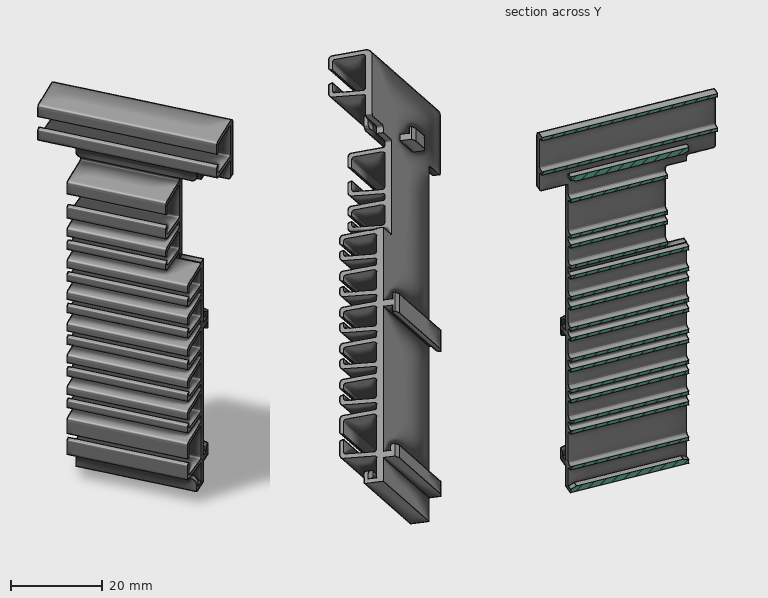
import cadquery as cq
import math

HEIGHT = 98.5
HEAD_WIDTH = 42.0
PLATE_WIDTH = 28.3
WALL = 1.6
HEAD_BOTTOM = 82.9
WALL_CORNER_RADIUS = 0.6
WALL_TOP_RADIUS = 1.5

NOTCH_BOTTOM = 59.2
NOTCH_TOP = 81.3
NOTCH_EDGE_X = 9.1

CHANNEL_FRONT = 10.2
ARM = 1.0
ARM_SLOPE = 3.0
LIP = 0.9
LIP_CORNER_RADIUS = 0.9
LIP_TIP_RADIUS = 0.4
LIP_TIP_SLOPE = 0.3
CAVITY_RADIUS = 0.7
ROOT_RADIUS = 0.5

HEAD_CHANNEL_HEIGHT = 10.4
WIDE_GAP = 3.0
LARGE_HEIGHT = 10.8
UPPER_LARGE_Z = 74.4
LOWER_LARGE_Z = 11.5
SMALL_HEIGHT = 6.8
SMALL_COUNT = 6
SMALL_TOP_Z = 64.0
SMALL_BOTTOM_Z = 22.0
NARROW_GAP = 1.2

FRONT_HOOK_REACH = 3.0
FRONT_HOOK_HEIGHT = 3.25
FRONT_HOOK_THICKNESS = 1.6
FRONT_HOOK_TOP = 85.8
FRONT_HOOK_EDGE_RADIUS = 0.3
FRONT_HOOK_CORNER_RADIUS = 1.2

FLARE_DEPTH = 0.6
FLARE_LENGTH = 1.4

BACK_HOOK_REACH = 3.25
BACK_LIP = 1.6
BACK_ARM = 1.5
BACK_LIP_RISE = 1.5
BACK_LIP_RADIUS = 0.5
BACK_LIP_OUTER_TAPER = 0.5
TOP_CLIP_WIDTH = 8.0
TOP_CLIP_Z = 82.7
MIDDLE_RAIL_Z = 40.8
BOTTOM_RAIL_Z = 5.5

SEARCH_MARGIN = 0.1


def block(x_range, y_range, z_range):
    """Axis-aligned box between the given limits."""
    sizes = [high - low for low, high in (x_range, y_range, z_range)]
    corner = (x_range[0], y_range[0], z_range[0])
    return cq.Workplane("XY").box(*sizes, centered=False).translate(corner)


def centered_range(width):
    return (-width / 2, width / 2)


head_x = centered_range(HEAD_WIDTH)
plate_x = centered_range(PLATE_WIDTH)
short_x = (plate_x[0], NOTCH_EDGE_X)


def prism_x(points, x_range):
    """Extrude a (y, z) outline along X."""
    plane = cq.Workplane("YZ", origin=(x_range[0], 0, 0))
    return plane.polyline(points).close().extrude(x_range[1] - x_range[0])


def edges_within(*ranges):
    """Selector for edges whose centers lie within the X, Y and Z ranges."""
    low_corner = [low - SEARCH_MARGIN for low, high in ranges]
    high_corner = [high + SEARCH_MARGIN for low, high in ranges]
    return cq.selectors.BoxSelector(low_corner, high_corner)


def wall():
    """Wide head over a notched plate, with the corners rounded."""
    head = block(head_x, (-WALL, 0), (HEAD_BOTTOM, HEIGHT))
    head = head.edges("|Y and <Z").fillet(WALL_CORNER_RADIUS)
    plate = block(plate_x, (-WALL, 0), (0, HEIGHT - WALL))
    notch = block((NOTCH_EDGE_X, PLATE_WIDTH), (-WALL, 0), (NOTCH_BOTTOM, NOTCH_TOP))
    notch = notch.edges("|Y and <X and >Z").fillet(WALL_CORNER_RADIUS)
    body = head.union(plate.cut(notch))
    inner_corners = edges_within(plate_x, (-WALL, 0), (HEAD_BOTTOM, HEAD_BOTTOM))
    body = body.edges("|Y").edges(inner_corners).fillet(WALL_CORNER_RADIUS)
    return body.edges("|X and >Z and >Y").fillet(WALL_TOP_RADIUS)


def channel(center_z, height, gap, x_range):
    """C channel whose arms converge toward a slotted front lip."""

    def tapered(back, front, root_height):
        drop = (front - back) * math.tan(math.radians(ARM_SLOPE))
        half_root = root_height / 2
        half_front = half_root - drop
        points = [(-back, half_root), (-front, half_front), (-front, -half_front), (-back, -half_root)]
        return prism_x(points, x_range)

    shell = tapered(WALL, CHANNEL_FRONT, height).edges("|X and <Y").fillet(LIP_CORNER_RADIUS)
    cavity = tapered(WALL, CHANNEL_FRONT - LIP, height - 2 * ARM).edges("|X").fillet(CAVITY_RADIUS)
    inside = LIP - CHANNEL_FRONT
    mouth = gap + 2 * LIP_TIP_SLOPE
    slot_points = [
        (inside, gap / 2),
        (-CHANNEL_FRONT, mouth / 2),
        (-CHANNEL_FRONT, -mouth / 2),
        (inside, -gap / 2),
    ]
    slot = prism_x(slot_points, x_range)
    shell = shell.cut(cavity).cut(slot)
    tips = edges_within(x_range, (-CHANNEL_FRONT, -CHANNEL_FRONT), centered_range(mouth))
    return shell.edges("|X").edges(tips).fillet(LIP_TIP_RADIUS).translate((0, 0, center_z))


def front_hook():
    """Upward-opening hook standing on z = 0, with its mouth flared at both ends."""
    reach = WALL + FRONT_HOOK_REACH - FRONT_HOOK_THICKNESS
    body = block(plate_x, (-WALL - FRONT_HOOK_REACH, -WALL), (0, FRONT_HOOK_HEIGHT))
    body = body.edges("|X and <Y and <Z").fillet(FRONT_HOOK_EDGE_RADIUS)
    body = body.edges("|Y and >Z").fillet(FRONT_HOOK_CORNER_RADIUS)
    body = body.cut(block(plate_x, (-reach, -WALL), (FRONT_HOOK_THICKNESS, FRONT_HOOK_HEIGHT)))

    def mouth(plane, spread):
        width = reach + spread - WALL
        depth = FRONT_HOOK_HEIGHT - FRONT_HOOK_THICKNESS + spread
        return plane.center(-WALL - width / 2, FRONT_HOOK_HEIGHT - depth / 2).rect(width, depth)

    end = mouth(cq.Workplane("YZ", origin=(plate_x[0], 0, 0)), FLARE_DEPTH)
    inner_wire = mouth(cq.Workplane("YZ", origin=(plate_x[0] + FLARE_LENGTH, 0, 0)), 0)
    flare = cq.Workplane(cq.Solid.makeLoft([end.val(), inner_wire.val()], True))
    return body.cut(flare).cut(flare.mirror("YZ"))


def back_hook(width, arm_z, lip_below, inner_taper):
    """Arm behind the wall ending in a lip narrowed at its ends; lip_below makes it a T."""
    half = width / 2
    inner = BACK_HOOK_REACH - BACK_LIP
    outer_end = BACK_HOOK_REACH - BACK_LIP_OUTER_TAPER
    left_half_plan = [
        (0, inner),
        (-half + FLARE_LENGTH, inner),
        (-half, inner + inner_taper),
        (-half, outer_end),
        (-half + FLARE_LENGTH, BACK_HOOK_REACH),
        (0, BACK_HOOK_REACH),
    ]
    bottom = -BACK_LIP_RISE if lip_below else 0
    height = BACK_ARM + BACK_LIP_RISE - bottom
    lip = cq.Workplane("XY").polyline(left_half_plan).close().extrude(height)
    lip = lip.union(lip.mirror("YZ"))
    rounded = "|X and <Y" if lip_below else "|X and <Y and >Z"
    lip = lip.edges(rounded).fillet(BACK_LIP_RADIUS).translate((0, 0, bottom))
    arm = block(centered_range(width), (0, outer_end), (0, BACK_ARM))
    return arm.union(lip).translate((0, 0, arm_z))


result = wall()

channels = [
    (HEIGHT - HEAD_CHANNEL_HEIGHT / 2, HEAD_CHANNEL_HEIGHT, WIDE_GAP, head_x),
    (UPPER_LARGE_Z, LARGE_HEIGHT, WIDE_GAP, short_x),
    (LOWER_LARGE_Z, LARGE_HEIGHT, NARROW_GAP, plate_x),
]
small_pitch = (SMALL_TOP_Z - SMALL_BOTTOM_Z) / (SMALL_COUNT - 1)
for i in range(SMALL_COUNT):
    small_z = SMALL_TOP_Z - i * small_pitch
    x_range = short_x if small_z > NOTCH_BOTTOM else plate_x
    channels.append((small_z, SMALL_HEIGHT, NARROW_GAP, x_range))

for center_z, height, gap, x_range in channels:
    result = result.union(channel(center_z, height, gap, x_range))

for center_z, height, gap, x_range in channels:
    for side in (-1, 1):
        root_z = center_z + side * height / 2
        flush_with_top = root_z > HEIGHT - ARM
        beside_notch = abs(root_z - NOTCH_BOTTOM) < ROOT_RADIUS
        if flush_with_top or beside_notch:
            continue
        root = edges_within(x_range, (-WALL, -WALL), (root_z, root_z))
        result = result.edges("|X").edges(root).fillet(ROOT_RADIUS)

lower_hook = front_hook()
upper_hook = lower_hook.mirror("XY").translate((0, 0, FRONT_HOOK_TOP))
result = result.union(lower_hook).union(upper_hook)
result = result.union(back_hook(TOP_CLIP_WIDTH, TOP_CLIP_Z, False, FLARE_DEPTH))
result = result.union(back_hook(PLATE_WIDTH, MIDDLE_RAIL_Z, True, FLARE_DEPTH))
result = result.union(back_hook(PLATE_WIDTH, BOTTOM_RAIL_Z, False, 0))